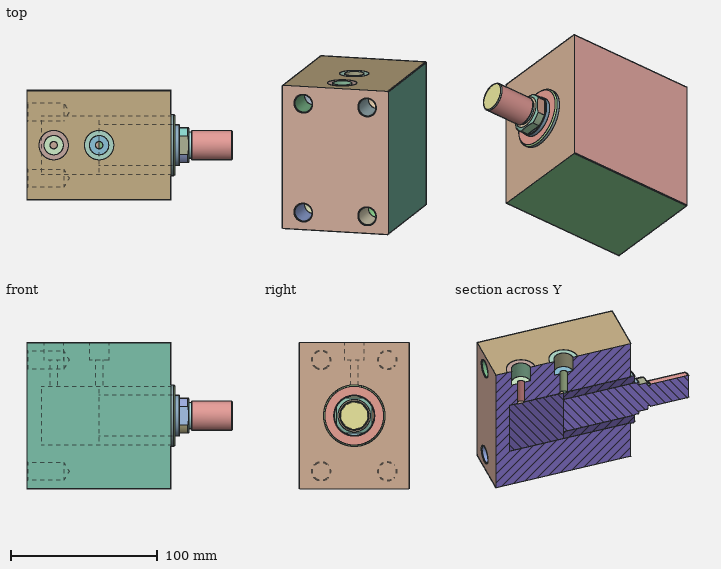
import cadquery as cq
import math


BLOCK_LENGTH = 98.0
BLOCK_WIDTH = 75.0
BLOCK_HEIGHT = 100.0
BLOCK_EDGE_CHAMFER = 0.5

BORE_DIAMETER = 40.0
BORE_START = 10.0

REAR_PORT_X = 18.2
FRONT_PORT_X = 49.1
PORT_SEAT_DIAMETER = 20.0
PORT_SEAT_DEPTH = 0.1
PORT_THREAD_DIAMETER = 13.2
PORT_THREAD_DEPTH = 12.0
PORT_DRILL_DIAMETER = 5.0

MOUNT_SPACING_Y = 45.1
MOUNT_SPACING_Z = 75.9
MOUNT_DIAMETER = 12.0
MOUNT_DEPTH = 25.2
MOUNT_MOUTH_CHAMFER = 0.5
DRILL_POINT_ANGLE = 118.0

PISTON_FRONT = FRONT_PORT_X

GLAND_FLANGE_DIAMETER = 42.0
GLAND_FLANGE_THICKNESS = 3.0
GLAND_CHAMFER = 1.0
GLAND_FRONT = BLOCK_LENGTH + GLAND_FLANGE_THICKNESS

ROD_DIAMETER = 28.0
ROD_SHOULDER_CHAMFER = 0.5
ROD_COLLAR_LENGTH = 3.1
ROD_SHOULDER = GLAND_FRONT + ROD_COLLAR_LENGTH
WRENCH_DIAMETER = ROD_DIAMETER - 2 * ROD_SHOULDER_CHAMFER
WRENCH_LENGTH = 6.5
WRENCH_END = ROD_SHOULDER + WRENCH_LENGTH
WRENCH_ACROSS_FLATS = 24.0
WRENCH_CHAMFER_LENGTH = 1.0
WRENCH_FACE_DIAMETER = 22.1
NECK_DIAMETER = 18.0
NECK_LENGTH = 1.5
NECK_END = WRENCH_END + NECK_LENGTH
THREAD_DIAMETER = 20.0
THREAD_START_RUN = 0.3
THREAD_END_CHAMFER_RUN = 0.8
THREAD_END_CHAMFER_DEPTH = 0.5
ROD_END = 140.0


def turned(profile):
    """Revolve (x, radius) points about the X axis."""
    return cq.Workplane("XY").polyline(profile).close().revolve(360, (0, 0, 0), (1, 0, 0))


def cylinder_along_x(start, end, diameter):
    return cq.Workplane("YZ", origin=(start, 0, 0)).circle(diameter / 2).extrude(end - start)


def make_port(x):
    """Shallow sealing seat, thread hole and oil drilling that opens into the bore."""
    top = cq.Workplane("XY", origin=(x, 0, BLOCK_HEIGHT / 2))
    seat = top.circle(PORT_SEAT_DIAMETER / 2).extrude(-PORT_SEAT_DEPTH)
    thread_hole = top.circle(PORT_THREAD_DIAMETER / 2).extrude(-PORT_THREAD_DEPTH)
    drilling = top.circle(PORT_DRILL_DIAMETER / 2).extrude(-BLOCK_HEIGHT / 2)
    return seat.union(thread_hole).union(drilling)


def make_mounting_hole(y, z):
    """Blind hole with a chamfered mouth and a drill-point bottom."""
    radius = MOUNT_DIAMETER / 2
    point_length = radius / math.tan(math.radians(DRILL_POINT_ANGLE / 2))
    hole = turned([
        (0, 0),
        (0, radius + MOUNT_MOUTH_CHAMFER),
        (MOUNT_MOUTH_CHAMFER, radius),
        (MOUNT_DEPTH, radius),
        (MOUNT_DEPTH + point_length, 0),
    ])
    return hole.translate((0, y, z))


def make_housing():
    block = cq.Workplane("XY").box(BLOCK_LENGTH, BLOCK_WIDTH, BLOCK_HEIGHT, (False, True, True))
    block = block.edges("|X").chamfer(BLOCK_EDGE_CHAMFER)
    block = block.cut(cylinder_along_x(BORE_START, BLOCK_LENGTH, BORE_DIAMETER))
    for port_x in (REAR_PORT_X, FRONT_PORT_X):
        block = block.cut(make_port(port_x))
    for y in (-MOUNT_SPACING_Y / 2, MOUNT_SPACING_Y / 2):
        for z in (-MOUNT_SPACING_Z / 2, MOUNT_SPACING_Z / 2):
            block = block.cut(make_mounting_hole(y, z))
    return block


def make_piston():
    return cylinder_along_x(BORE_START, PISTON_FRONT, BORE_DIAMETER)


def make_gland():
    """Bush that closes the bore, with a chamfered flange against the block."""
    flange_radius = GLAND_FLANGE_DIAMETER / 2
    return turned([
        (PISTON_FRONT, ROD_DIAMETER / 2),
        (PISTON_FRONT, BORE_DIAMETER / 2),
        (BLOCK_LENGTH, BORE_DIAMETER / 2),
        (BLOCK_LENGTH, flange_radius),
        (GLAND_FRONT - GLAND_CHAMFER, flange_radius),
        (GLAND_FRONT, flange_radius - GLAND_CHAMFER),
        (GLAND_FRONT, ROD_DIAMETER / 2),
    ])


def make_wrench_flats():
    """Ring of material outside the square of the four wrench flats."""
    section = cq.Workplane("YZ", origin=(ROD_SHOULDER, 0, 0))
    clearance = 2 * ROD_DIAMETER
    ring = section.rect(clearance, clearance).rect(WRENCH_ACROSS_FLATS, WRENCH_ACROSS_FLATS)
    return ring.extrude(WRENCH_LENGTH)


def make_rod():
    """Rod from the piston face out to its threaded end."""
    thread_radius = THREAD_DIAMETER / 2
    rod = turned([
        (PISTON_FRONT, 0),
        (PISTON_FRONT, ROD_DIAMETER / 2),
        (ROD_SHOULDER - ROD_SHOULDER_CHAMFER, ROD_DIAMETER / 2),
        (ROD_SHOULDER, WRENCH_DIAMETER / 2),
        (WRENCH_END - WRENCH_CHAMFER_LENGTH, WRENCH_DIAMETER / 2),
        (WRENCH_END, WRENCH_FACE_DIAMETER / 2),
        (WRENCH_END, NECK_DIAMETER / 2),
        (NECK_END, NECK_DIAMETER / 2),
        (NECK_END + THREAD_START_RUN, thread_radius),
        (ROD_END - THREAD_END_CHAMFER_RUN, thread_radius),
        (ROD_END, thread_radius - THREAD_END_CHAMFER_DEPTH),
        (ROD_END, 0),
    ])
    return rod.cut(make_wrench_flats())


housing = make_housing()
piston = make_piston()
gland = make_gland()
rod = make_rod()

result = cq.Compound.makeCompound([housing.val(), piston.val(), gland.val(), rod.val()])